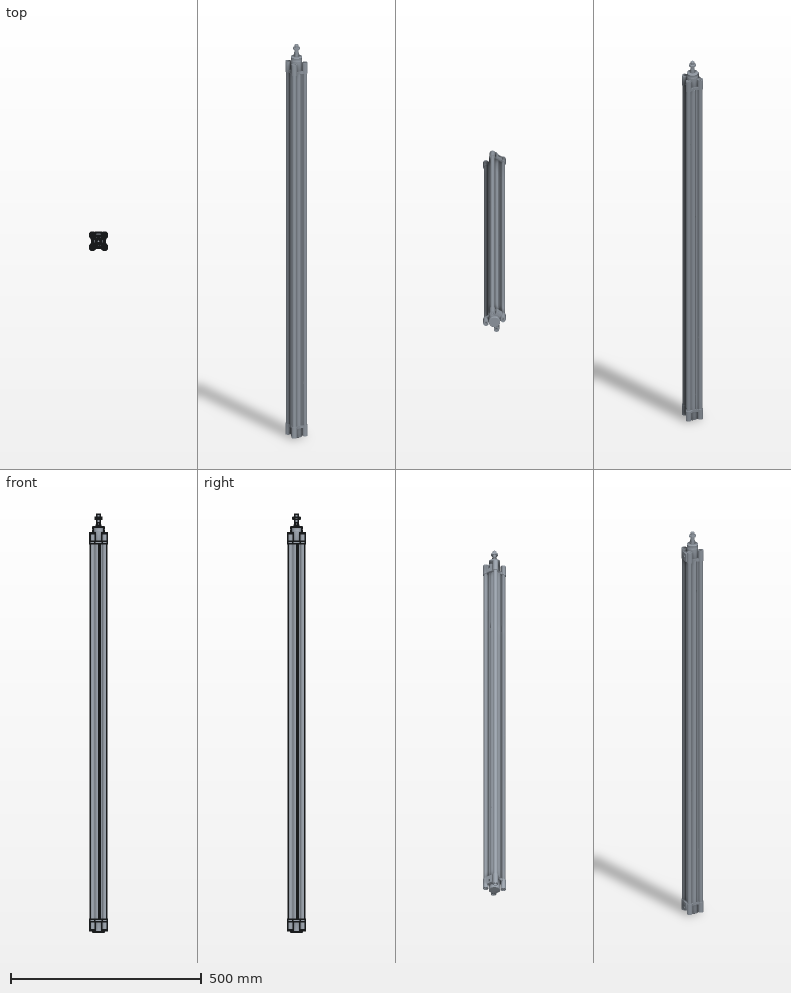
import cadquery as cq
import math


stroke = 950.0
body_length = stroke + 94.0
rear_collar_height = 4.0
cap_length = 30.0
flange_height = 7.0
rod_reach = 48.0
thread_length = 22.0

rear_face = rear_collar_height
front_face = rear_face + body_length
rod_tip = front_face + rod_reach
thread_start = rod_tip - thread_length

cap_size = 47.0
column_spacing = 32.5
column_radius = (cap_size - column_spacing) / 2
column_offset = column_spacing / 2
valley_floor = 17.0
screw_bore = 10.6
screw_bore_depth = cap_length - flange_height
screw_head = 10.0
screw_head_recess = 3.0
screw_core = 4.92

port_diameter = 8.57
port_depth = 10.0
port_pad_width = 16.0
port_pad_height = 23.0
port_height = 15.0

tube_radius = 18.0
lobe_radius = 5.6
lobe_fillet = 1.5
slot_diameter = 4.0
slot_mouth = 3.2
slot_offset = 2.8
slot_center = 16.0

collar_radius = 15.0
front_collar_base = 4.0
waist_top = 13.0
waist_depth = 0.8
front_collar_height = 15.3
front_collar_chamfer = 1.0
rear_collar_chamfer = 1.0

rod_diameter = 12.0
rod_flats = 10.0
flats_length = 7.0
flats_start = thread_start - flats_length
rod_base = front_face - cap_length
thread_diameter = 10.0
thread_core = 8.65
nut_flats = 17.0
nut_thickness = 5.0
nut_top = rod_tip - 8.0
nut_chamfer_angle = 30.0

corner_points = [(sx * column_offset, sy * column_offset) for sx in (-1, 1) for sy in (-1, 1)]


def cylinder(diameter, bottom, top):
    return cq.Workplane("XY").workplane(offset=bottom).circle(diameter / 2).extrude(top - bottom)


def corner_cylinders(diameter, bottom, top):
    """One cylinder on each of the four corner axes."""
    plane = cq.Workplane("XY").workplane(offset=bottom)
    return plane.pushPoints(corner_points).circle(diameter / 2).extrude(top - bottom)


def cap_flange():
    """Inner slice of a cap: a square whose sides are hollowed by arcs touching the corner columns."""
    flange_base = cap_length - flange_height
    flange_side = column_spacing + column_radius
    flange = (
        cq.Workplane("XY")
        .workplane(offset=flange_base)
        .rect(flange_side, flange_side)
        .extrude(flange_height)
    )
    reach = valley_floor - column_offset
    valley_radius = (column_offset**2 + reach**2 - column_radius**2) / (2 * (column_radius - reach))
    valley = cylinder(2 * valley_radius, flange_base, cap_length)
    valley = valley.translate((valley_floor + valley_radius, 0, 0))
    for quarter in range(4):
        flange = flange.cut(valley.rotate((0, 0, 0), (0, 0, 1), 90 * quarter))
    return flange


def end_cap():
    """Rear cap with its mounting face on z = 0 and its inner end at z = cap_length."""
    columns = corner_cylinders(2 * column_radius, 0, cap_length)
    core = cylinder(2 * collar_radius, 0, cap_length)
    port_pad = (
        cq.Workplane("XY")
        .workplane(offset=cap_length - port_pad_height)
        .center(0, cap_size / 4)
        .rect(port_pad_width, cap_size / 2)
        .extrude(port_pad_height)
    )
    cap = columns.union(core).union(cap_flange()).union(port_pad)

    bores = corner_cylinders(screw_bore, 0, screw_bore_depth)
    heads = corner_cylinders(screw_head, screw_head_recess, screw_bore_depth)
    threads = corner_cylinders(screw_core, 0, screw_bore_depth)
    cap = cap.cut(bores).union(heads).cut(threads)

    port = (
        cq.Workplane("XZ", origin=(0, cap_size / 2, port_height))
        .circle(port_diameter / 2)
        .extrude(port_depth)
    )
    return cap.cut(port)


def sensor_slot(bottom, top):
    """Round slot with a narrower mouth, open towards -Y."""
    mouth = (
        cq.Workplane("XY")
        .workplane(offset=bottom)
        .center(slot_offset, -slot_center - tube_radius / 2)
        .rect(slot_mouth, tube_radius)
        .extrude(top - bottom)
    )
    return cylinder(slot_diameter, bottom, top).translate((slot_offset, -slot_center, 0)).union(mouth)


def barrel():
    """Round body with four corner lobes and a sensor slot on each side."""
    bottom = rear_face + cap_length
    top = front_face - cap_length
    profile = cylinder(2 * tube_radius, bottom, top).union(corner_cylinders(2 * lobe_radius, bottom, top))
    profile = profile.edges("|Z").fillet(lobe_fillet)
    slot = sensor_slot(bottom, top)
    for quarter in range(4):
        profile = profile.cut(slot.rotate((0, 0, 0), (0, 0, 1), 90 * quarter))
    return profile


def front_collar():
    """Collar with a shallow waist around the rod."""
    waist_middle = (front_collar_base + waist_top) / 2
    return (
        cq.Workplane("XZ")
        .moveTo(0, 0)
        .lineTo(collar_radius, 0)
        .lineTo(collar_radius, front_collar_base)
        .threePointArc((collar_radius - waist_depth, waist_middle), (collar_radius, waist_top))
        .lineTo(collar_radius, front_collar_height - front_collar_chamfer)
        .lineTo(collar_radius - front_collar_chamfer, front_collar_height)
        .lineTo(0, front_collar_height)
        .close()
        .revolve(360, (0, 0, 0), (0, 1, 0))
        .translate((0, 0, front_face))
    )


def make_housing():
    """Barrel, both end caps and both collars, with a bore for the rod."""
    rear_cap = end_cap().translate((0, 0, rear_face))
    front_cap = end_cap().mirror("XY").translate((0, 0, front_face))
    rear_collar = cylinder(2 * collar_radius, 0, rear_face).faces("<Z").chamfer(rear_collar_chamfer)
    housing = barrel().union(rear_cap).union(front_cap).union(rear_collar).union(front_collar())
    return housing.cut(cylinder(rod_diameter, rod_base, rod_tip))


def make_rod():
    """Rod with a square for a wrench below its threaded end."""
    shank = cylinder(rod_diameter, rod_base, flats_start)
    square = (
        cq.Workplane("XY")
        .workplane(offset=flats_start)
        .rect(rod_flats, rod_flats)
        .extrude(flats_length)
        .intersect(cylinder(rod_diameter, flats_start, thread_start))
    )
    thread = cylinder(thread_diameter, thread_start, rod_tip)
    thread = thread.faces(">Z").chamfer((thread_diameter - thread_core) / 2)
    return shank.union(square).union(thread)


def make_nut():
    """Hexagon nut with the corners chamfered at both ends."""
    half_angle = math.pi / 6
    across_corners = nut_flats / math.cos(half_angle)
    rim = nut_flats / 2
    corner = across_corners / 2
    chamfer_height = (corner - rim) * math.tan(math.radians(nut_chamfer_angle))
    hexagon = (
        cq.Workplane("XY")
        .transformed(rotate=(0, 0, math.degrees(half_angle)))
        .polygon(6, across_corners)
        .circle(thread_diameter / 2)
        .extrude(nut_thickness)
    )
    turned = (
        cq.Workplane("XZ")
        .polyline([
            (0, 0),
            (rim, 0),
            (corner, chamfer_height),
            (corner, nut_thickness - chamfer_height),
            (rim, nut_thickness),
            (0, nut_thickness),
        ])
        .close()
        .revolve(360, (0, 0, 0), (0, 1, 0))
    )
    return hexagon.intersect(turned).translate((0, 0, nut_top - nut_thickness))


housing = make_housing()
rod = make_rod()
nut = make_nut()
result = cq.Compound.makeCompound([housing.val(), rod.val(), nut.val()])